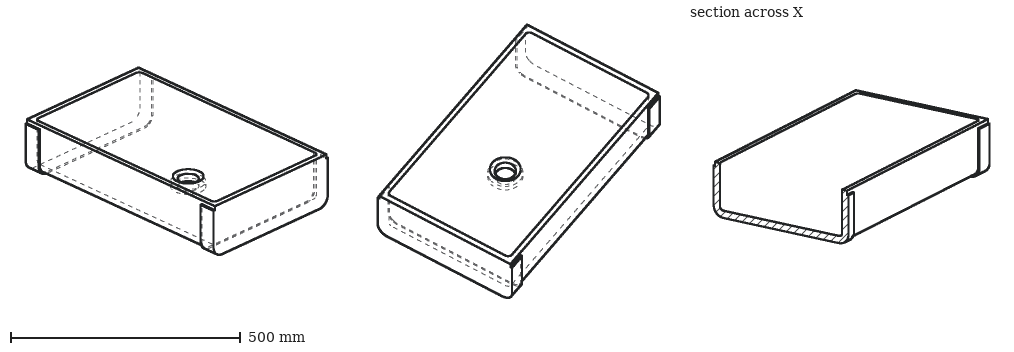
import cadquery as cq

length = 578.0
body_width = 344.0
body_height = 122.0
body_edge_radius = 22.0

pad_length = 40.0
pad_thickness = 4.0
pad_top_drop = 10.0

end_wall = 14.0
side_wall = 12.0
floor_thickness = 12.0
bowl_floor_radius = 10.0
bowl_corner_radius = bowl_floor_radius

drain_y = 35.0
drain_diameter = 46.0
drain_recess_diameter = 67.0
drain_recess_depth = 6.0
boss_diameter = 77.0
boss_drop = 12.0


def rounded_bar(bar_length, width, bottom, top, edge_radius):
    """Bar along X with its two long bottom edges rounded."""
    bar = cq.Workplane("XY").workplane(offset=bottom).rect(bar_length, width).extrude(top - bottom)
    return bar.edges("|X and <Z").fillet(edge_radius)


def end_pad(side):
    """Raised band around one end; side is -1 or +1 along X."""
    band = rounded_bar(
        pad_length,
        body_width + 2 * pad_thickness,
        -pad_thickness,
        body_height - pad_top_drop,
        body_edge_radius + pad_thickness,
    )
    return band.translate((side * (length - pad_length) / 2, 0, 0))


def bowl():
    """Rounded cavity, open at the rim."""
    cavity = (
        cq.Workplane("XY")
        .workplane(offset=floor_thickness)
        .rect(length - 2 * end_wall, body_width - 2 * side_wall)
        .extrude(body_height - floor_thickness)
    )
    return cavity.edges("|Z").fillet(bowl_corner_radius).faces("<Z").edges().fillet(bowl_floor_radius)


def drain_cylinder(diameter, bottom, top):
    """Cylinder on the drain axis."""
    base = cq.Workplane("XY").workplane(offset=bottom)
    return base.center(0, drain_y).circle(diameter / 2).extrude(top - bottom)


def drain_recess():
    """Cone narrowing from the bowl floor to the drain bore."""
    base = cq.Workplane("XY").workplane(offset=floor_thickness).center(0, drain_y)
    recess = base.circle(drain_recess_diameter / 2).workplane(offset=-drain_recess_depth)
    return recess.circle(drain_diameter / 2).loft(combine=True)


result = rounded_bar(length, body_width, 0, body_height, body_edge_radius)
for end_side in (-1, 1):
    result = result.union(end_pad(end_side))
result = result.union(drain_cylinder(boss_diameter, -boss_drop, floor_thickness))
result = result.cut(bowl())
result = result.cut(drain_recess())
result = result.cut(drain_cylinder(drain_diameter, -boss_drop, floor_thickness))